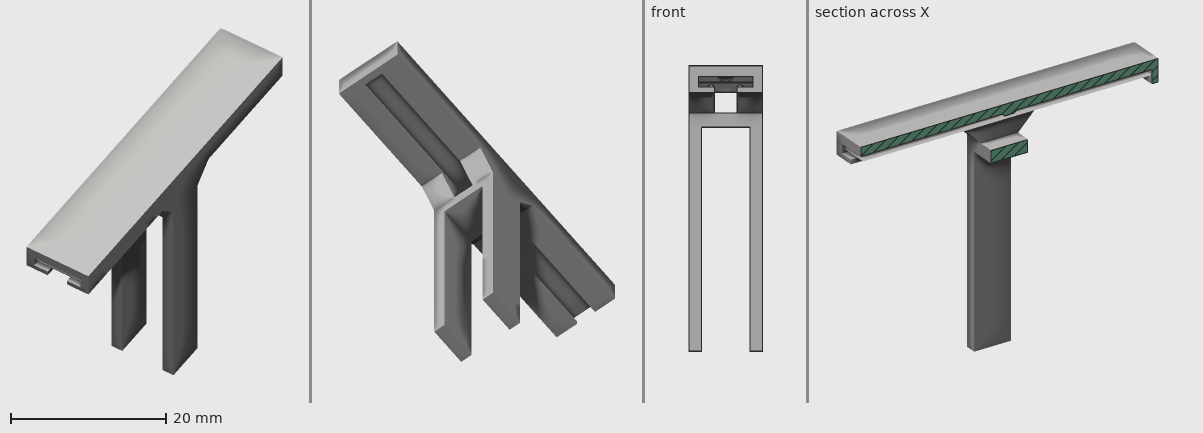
import cadquery as cq

length = 46.0
width = 9.5
height = 36.8

rail_height = 3.45
slot_width = 7.1
slot_top = 1.4
slot_bottom = 2.75
opening_width = 2.95
end_wall = 1.0
slot_length = length - end_wall
slot_center_y = -end_wall / 2

stem_depth = 5.7
gusset = 2.6
leg_thickness = 1.65
fork_top = 7.95
leg_gap = width - 2 * leg_thickness
opening_bottom = rail_height + gusset

strip_thickness = 0.15
strip_top = 2.05
strip_setback = 0.35

bump_height = 0.28
bump_base_radius = 0.4
bump_radius = (bump_base_radius**2 + bump_height**2) / (2 * bump_height)
bump_x = opening_width / 2 + bump_base_radius

pad_base = 2.2
pad_height = strip_top - slot_top
pad_tip = 0.8


def block(size_x, size_y, top, bottom, center_y=0.0):
    """Box centred on X, between two depths below the rail's top face."""
    return (
        cq.Workplane("XY", origin=(0, center_y, -bottom))
        .rect(size_x, size_y)
        .extrude(bottom - top)
    )


def make_outer_shape():
    """T-shaped profile with gussets, extruded across the width."""
    half_length = length / 2
    half_stem = stem_depth / 2
    half_gusset = half_stem + gusset
    return (
        cq.Workplane("YZ", origin=(-width / 2, 0, 0))
        .polyline([
            (-half_length, 0),
            (half_length, 0),
            (half_length, -rail_height),
            (half_gusset, -rail_height),
            (half_stem, -opening_bottom),
            (half_stem, -height),
            (-half_stem, -height),
            (-half_stem, -opening_bottom),
            (-half_gusset, -rail_height),
            (-half_length, -rail_height),
        ])
        .close()
        .extrude(width)
    )


def make_bump(side):
    """Spherical cap on one lip; side is -1 or 1."""
    center_depth = slot_bottom + bump_radius - bump_height
    sphere = cq.Workplane("XY", origin=(side * bump_x, 0, -center_depth)).sphere(bump_radius)
    return sphere.intersect(block(slot_width, slot_length, slot_top, slot_bottom))


def make_pad():
    """Square pad that tapers downward from the slot's roof."""
    return (
        cq.Workplane("XY", origin=(0, 0, -slot_top))
        .rect(pad_base, pad_base)
        .workplane(offset=-pad_height)
        .rect(pad_tip, pad_tip)
        .loft(ruled=True)
    )


def make_holder():
    holder = make_outer_shape()
    holder = holder.cut(block(slot_width, slot_length, slot_top, slot_bottom, slot_center_y))
    holder = holder.cut(block(opening_width, slot_length, slot_bottom, rail_height, slot_center_y))
    holder = holder.cut(block(opening_width, length, rail_height, opening_bottom))
    holder = holder.cut(block(leg_gap, length, fork_top, height))
    for side in (-1, 1):
        holder = holder.union(make_bump(side))
    return holder.union(make_pad())


def make_strip():
    """Thin flat strip that spans the slot's width and stops at the end wall."""
    strip_length = slot_length - strip_setback
    strip_center_y = slot_center_y + strip_setback / 2
    return block(slot_width, strip_length, strip_top, strip_top + strip_thickness, strip_center_y)


holder = make_holder()
strip = make_strip()

result = cq.Compound.makeCompound([holder.val(), strip.val()])